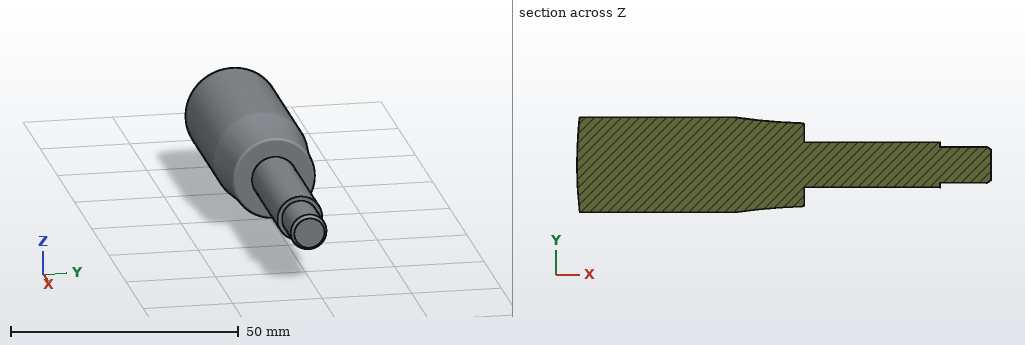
import cadquery as cq

total_length = 90.9
grip_cylinder_end = 34.55
grip_end = 49.9
shaft_end = 79.7

grip_diameter = 21.0
neck_diameter = 18.4
shaft_diameter = 10.0
tip_diameter = 8.0

dome_height = 0.55
dome_rim_fillet = 0.55
neck_sag = 0.23
neck_fillet = 0.55
tip_chamfer_length = 0.9
tip_chamfer_depth = 0.6

grip_radius = grip_diameter / 2
neck_radius = neck_diameter / 2
tip_radius = tip_diameter / 2


def make_grip():
    """Turned grip: shallow domed end, cylinder, then a slightly concave taper."""
    dome_middle_radius = grip_radius / 2
    dome_middle = (dome_height / 4, dome_middle_radius)
    neck_middle = (
        (grip_cylinder_end + grip_end) / 2,
        (grip_radius + neck_radius) / 2 - neck_sag,
    )
    grip = (
        cq.Workplane("XY")
        .threePointArc(dome_middle, (dome_height, grip_radius))
        .lineTo(grip_cylinder_end, grip_radius)
        .threePointArc(neck_middle, (grip_end, neck_radius))
        .lineTo(grip_end, 0)
        .close()
        .revolve(360, (0, 0, 0), (1, 0, 0))
    )
    dome_rim = cq.selectors.NearestToPointSelector((dome_height, 0, 0))
    grip = grip.edges("%CIRCLE").edges(dome_rim).fillet(dome_rim_fillet)
    return grip.faces(">X").edges().fillet(neck_fillet)


def make_spindle():
    """Stepped shaft with a chamfered, narrower tip."""
    shaft = (
        cq.Workplane("YZ", origin=(grip_end, 0, 0))
        .circle(shaft_diameter / 2)
        .extrude(shaft_end - grip_end)
    )
    tip = (
        cq.Workplane("XY")
        .moveTo(shaft_end, 0)
        .lineTo(shaft_end, tip_radius)
        .lineTo(total_length - tip_chamfer_length, tip_radius)
        .lineTo(total_length, tip_radius - tip_chamfer_depth)
        .lineTo(total_length, 0)
        .close()
        .revolve(360, (0, 0, 0), (1, 0, 0))
    )
    return shaft.union(tip)


result = make_grip().union(make_spindle())